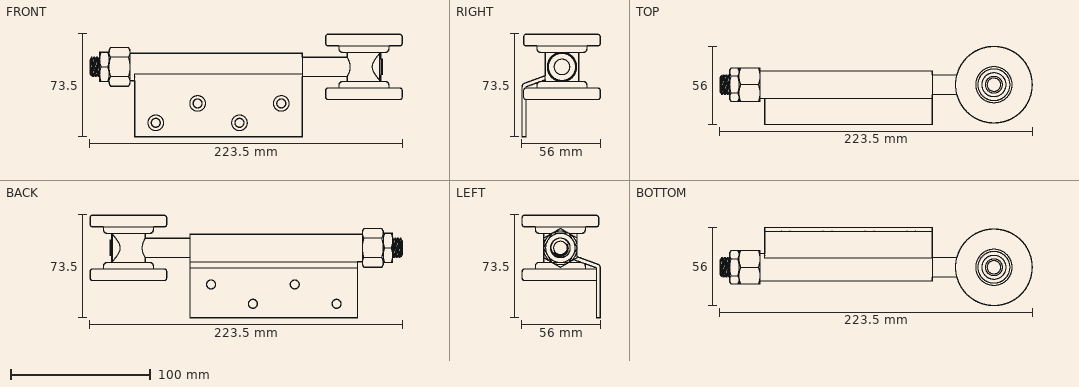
import cadquery as cq
import math


overall_length = 223.5

rod_diameter = 14.0
sleeve_diameter = 20.0
sleeve_end = 152.0
thread_pitch = 2.0
thread_root_diameter = 11.0
tip_diameter = 9.5
tip_length = 1.1
threaded_length = 8.0
groove_half_width = 0.45 * thread_pitch
groove_overcut = 0.2

lock_nut_start = 7.0
lock_nut_length = 6.7
lock_nut_flats = 21.0
main_nut_length = 15.0
main_nut_flats = 24.1
nut_chamfer_angle = 30
lock_nut_turn = 0
main_nut_turn = 30

bracket_length = 120.0
sheet = 3.0
bracket_face_y = -28.5
bracket_bottom = -50.0
bend_z = -14.3
arm_angle = 20
arm_inner_y = -5.5
hole_diameter = 6.3
sink_diameter = 11.2
sink_angle = 90
hole_count = 4
hole_spacing = 30.0
hole_high_z = -26.1
hole_low_z = -40.0

roller_diameter = 55.0
roller_thickness = 8.5
roller_face_z = 23.5
roller_fillet = 2.0
collar_diameter = 36.0
collar_inner_z = 10.3
collar_fillet = 3.0
hub_diameter = 24.1
boss_diameter = 21.0
boss_chamfer = 0.78
stud_diameter = 11.2
stud_reach = 13.2

recess_diameter = 26.0
recess_depth = 2.2
bearing_outer_ring_bore = 22.8
bearing_inner_ring_diameter = 17.2
bearing_groove_depth = 0.2
pin_diameter = 12.0
pin_bore = 9.5
pin_bore_depth = 3.4

head_x = overall_length - roller_diameter / 2
main_nut_start = lock_nut_start + lock_nut_length
sleeve_start = main_nut_start + main_nut_length
bracket_start = sleeve_end - bracket_length


def x_cylinder(diameter, start, end):
    """Solid cylinder on the X axis."""
    return cq.Workplane("YZ", origin=(start, 0, 0)).circle(diameter / 2).extrude(end - start)


def z_cylinder(diameter, bottom, top):
    """Solid cylinder on the roller axis."""
    return cq.Workplane("XY", origin=(head_x, 0, bottom)).circle(diameter / 2).extrude(top - bottom)


def threaded_rod():
    """Rod with a tapered tip and a helical V groove at its free end."""
    tip_depth = (rod_diameter - tip_diameter) / 2
    rod = x_cylinder(rod_diameter, 0, head_x).faces("<X").chamfer(tip_length, tip_depth)

    root_radius = thread_root_diameter / 2
    groove_start = -thread_pitch
    groove_outer_radius = rod_diameter / 2 + groove_overcut
    path = cq.Wire.makeHelix(
        thread_pitch,
        threaded_length + thread_pitch,
        root_radius,
        center=cq.Vector(groove_start, 0, 0),
        dir=cq.Vector(1, 0, 0),
    )
    begin = path.startPoint()
    radial = cq.Vector(0, begin.y, begin.z).normalized()
    profile_plane = cq.Plane(
        origin=(groove_start, 0, 0),
        xDir=radial,
        normal=cq.Vector(1, 0, 0).cross(radial),
    )
    groove = (
        cq.Workplane(profile_plane)
        .polyline([
            (root_radius, 0),
            (groove_outer_radius, groove_half_width),
            (groove_outer_radius, -groove_half_width),
        ])
        .close()
        .sweep(cq.Workplane(path), isFrenet=True)
    )
    return rod.cut(groove)


def hex_nut(flats, start, length, first_corner_angle):
    """Hexagon nut on the X axis with both ends turned to a cone."""
    corner_radius = flats / math.sqrt(3)
    hexagon = (
        cq.Workplane("YZ", origin=(start, 0, 0))
        .transformed(rotate=(0, 0, first_corner_angle))
        .polygon(6, 2 * corner_radius)
        .extrude(length)
    )
    corner_drop = corner_radius - flats / 2
    cone_length = corner_drop * math.tan(math.radians(nut_chamfer_angle))
    blank = x_cylinder(2 * corner_radius, start, start + length)
    turned_blank = blank.faces("<X or >X").chamfer(cone_length, corner_drop)
    return hexagon.intersect(turned_blank)


def bracket():
    """Bent sheet welded to the sleeve, with four countersunk screw holes."""
    slope = math.radians(arm_angle)
    inner_y = bracket_face_y + sheet
    bend_top = (inner_y - sheet * math.sin(slope), bend_z + sheet * math.cos(slope))
    mid_angle = (math.pi + math.pi / 2 + slope) / 2
    bend_mid = (inner_y + sheet * math.cos(mid_angle), bend_z + sheet * math.sin(mid_angle))
    arm_top = (arm_inner_y, bend_top[1] + (arm_inner_y - bend_top[0]) * math.tan(slope))
    arm_under = (
        arm_top[0] + sheet * math.sin(slope),
        arm_top[1] - sheet * math.cos(slope),
    )
    plate = (
        cq.Workplane("YZ", origin=(bracket_start, 0, 0))
        .moveTo(bracket_face_y, bracket_bottom)
        .lineTo(bracket_face_y, bend_z)
        .threePointArc(bend_mid, bend_top)
        .lineTo(*arm_top)
        .lineTo(*arm_under)
        .lineTo(inner_y, bend_z)
        .lineTo(inner_y, bracket_bottom)
        .close()
        .extrude(bracket_length)
    )
    middle_x = bracket_start + bracket_length / 2
    holes = []
    for index in range(hole_count):
        x = middle_x + (index - (hole_count - 1) / 2) * hole_spacing
        z = hole_low_z if index % 2 == 0 else hole_high_z
        holes.append((x, z))
    return (
        plate.faces("<Y")
        .workplane(origin=(0, bracket_face_y, 0))
        .pushPoints(holes)
        .cskHole(hole_diameter, sink_diameter, sink_angle)
    )


def roller():
    """Upper roller with its collar, bearing recess and pin end."""
    roller_inner_z = roller_face_z - roller_thickness
    recess_floor = roller_face_z - recess_depth
    groove_floor = recess_floor - bearing_groove_depth

    disc = z_cylinder(roller_diameter, roller_inner_z, roller_face_z).edges().fillet(roller_fillet)
    collar = z_cylinder(collar_diameter, collar_inner_z, roller_inner_z)
    collar = collar.faces("<Z").edges().fillet(collar_fillet)
    recess = z_cylinder(recess_diameter, recess_floor, roller_face_z)
    groove = z_cylinder(bearing_outer_ring_bore, groove_floor, recess_floor)
    groove = groove.cut(z_cylinder(bearing_inner_ring_diameter, groove_floor, recess_floor))
    pin = z_cylinder(pin_diameter, recess_floor, roller_face_z)
    bore = z_cylinder(pin_bore, roller_face_z - pin_bore_depth, roller_face_z)
    return disc.union(collar).cut(recess).cut(groove).union(pin).cut(bore)


def rod_head():
    """Vertical hub between the rollers with the boss and stud at the rod end."""
    hub = z_cylinder(hub_diameter, -collar_inner_z, collar_inner_z)
    boss = x_cylinder(boss_diameter, head_x, head_x + hub_diameter / 2).faces(">X").chamfer(boss_chamfer)
    stud = x_cylinder(stud_diameter, head_x, head_x + stud_reach)
    return hub.union(boss).union(stud)


lock_nut = hex_nut(lock_nut_flats, lock_nut_start, lock_nut_length, lock_nut_turn)
main_nut = hex_nut(main_nut_flats, main_nut_start, main_nut_length, main_nut_turn)
sleeve = x_cylinder(sleeve_diameter, sleeve_start, sleeve_end)
upper_roller = roller()
lower_roller = upper_roller.mirror("XY")

result = (
    threaded_rod()
    .union(lock_nut)
    .union(main_nut)
    .union(sleeve)
    .union(bracket())
    .union(rod_head())
    .union(upper_roller)
    .union(lower_roller)
)